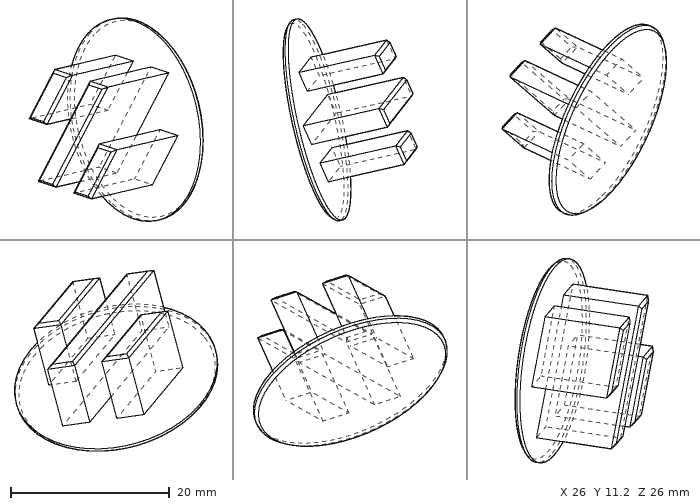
import cadquery as cq

plate_diameter = 26
plate_thickness = 0.8

bar_length = 10.4
bar_width = 3.48
bar_half_height = 7.7
bar_lean = 0.66
bar_pitch = 6.95
short_bar_offset = 0.13

edge_chamfer = 0.4


def make_plate():
    """Disc from Y = 0 to Y = plate_thickness."""
    plate = cq.Workplane("XZ").circle(plate_diameter / 2).extrude(-plate_thickness)
    return plate.faces(">Y").edges().chamfer(edge_chamfer)


def make_bar(centre_x, bottom_z, top_z):
    """Parallelogram bar whose centre line crosses Z = 0 at centre_x."""
    bottom_x = centre_x + bar_lean * bottom_z
    top_x = centre_x + bar_lean * top_z
    half_width = bar_width / 2
    bar = (
        cq.Workplane("XZ")
        .moveTo(bottom_x - half_width, bottom_z)
        .lineTo(bottom_x + half_width, bottom_z)
        .lineTo(top_x + half_width, top_z)
        .lineTo(top_x - half_width, top_z)
        .close()
        .extrude(bar_length)
    )
    return bar.faces("<Y").edges().chamfer(edge_chamfer)


long_bar = make_bar(0, -bar_half_height, bar_half_height)
upper_bar = make_bar(-bar_pitch, short_bar_offset, bar_half_height)
lower_bar = make_bar(bar_pitch, -bar_half_height, -short_bar_offset)

result = make_plate().union(long_bar).union(upper_bar).union(lower_bar)